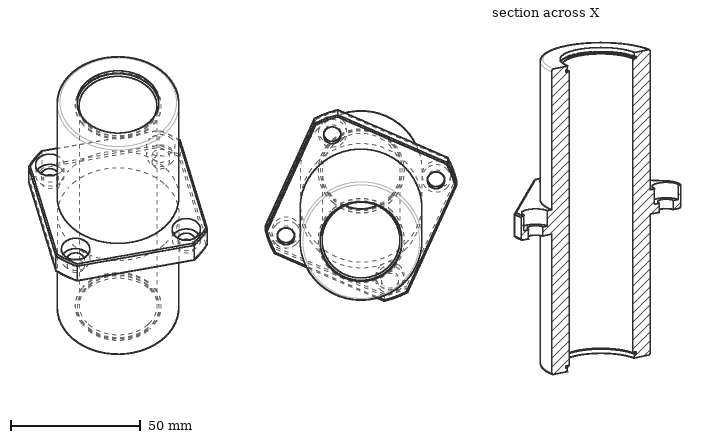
import cadquery as cq

length = 123.0
sleeve_diameter = 47.0
sleeve_edge_radius = 1.0
bore_diameter = 30.0
mouth_diameter = 31.6
lip_depth = 1.7
groove_diameter = 33.2
groove_floor_depth = 2.3

flange_width = 60.0
flange_diameter = 75.9
flange_thickness = 10.0
flange_chamfer = 0.6

bolt_circle_diameter = 62.0
screw_diameter = 6.6
head_diameter = 11.0
head_depth = 6.2
screw_count = 4


def make_cylinder(diameter, height):
    return cq.Workplane("XY").circle(diameter / 2).extrude(height / 2, both=True)


def make_sleeve():
    return make_cylinder(sleeve_diameter, length).edges().fillet(sleeve_edge_radius)


def make_flange():
    square = cq.Workplane("XY").rect(flange_width, flange_width).extrude(flange_thickness / 2, both=True)
    disc = make_cylinder(flange_diameter, flange_thickness)
    plate = square.rotate((0, 0, 0), (0, 0, 1), 45).intersect(disc)
    plate = plate.faces("|Z").edges().chamfer(flange_chamfer)
    return (
        plate.faces(">Z").workplane(origin=(0, 0, 0))
        .polarArray(bolt_circle_diameter / 2, 0, 360, screw_count)
        .cboreHole(screw_diameter, head_diameter, head_depth)
    )


def make_end_recess():
    lip = cq.Workplane("XY", origin=(0, 0, length / 2)).circle(mouth_diameter / 2).extrude(-lip_depth)
    groove = (
        cq.Workplane("XY", origin=(0, 0, length / 2 - lip_depth))
        .circle(groove_diameter / 2)
        .extrude(lip_depth - groove_floor_depth)
    )
    return lip.union(groove)


def make_bore():
    upper_recess = make_end_recess()
    lower_recess = upper_recess.mirror("XY")
    return make_cylinder(bore_diameter, length).union(upper_recess).union(lower_recess)


result = make_sleeve().union(make_flange()).cut(make_bore())